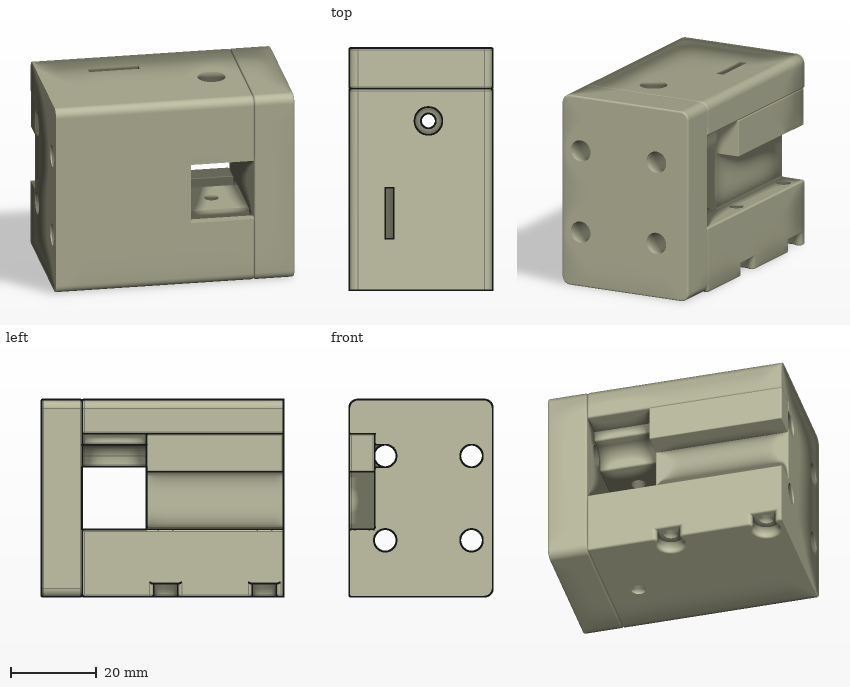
import cadquery as cq
import math

width = 33.5
length = 56.5
height = 46.0
cap_thickness = 9.5
housing_length = length - cap_thickness
mid_z = height / 2

corner_radius = 2.05
edge_radius = 0.45
back_radius = 0.5
small_radius = 0.2

hole_dia = 5.2
hole_radius = hole_dia / 2
hole_spacing_x = 20.1
hole_spacing_z = 19.65
near_hole_x = 8.4
far_hole_x = near_hole_x + hole_spacing_x
lower_hole_z = mid_z - hole_spacing_z / 2
upper_hole_z = mid_z + hole_spacing_z / 2

window_height = 14.6
window_front_y = 32.0
window_mid_y = (window_front_y + housing_length) / 2
floor_z = mid_z - window_height / 2
window_top_z = mid_z + window_height / 2

pocket_depth = 6.0
pocket_top_z = 37.95

insert_height = 8.8

screw_hole_dia = 3.4
screw_hole_x = (near_hole_x + far_hole_x) / 2
counterbore_dia = 6.5
counterbore_depth = 3.0

ledge_screw_x = 3.0
ledge_screw_first_y = 4.5
ledge_screw_spacing = 23.0
ledge_screw_ys = [ledge_screw_first_y, ledge_screw_first_y + ledge_screw_spacing]
mouth_radius = 1.0

slot_x = 8.5
slot_width = 2.0
slot_length = 12.0
slot_front_y = 12.0


def box(x0, x1, y0, y1, z0, z1):
    """Box given by its limits along each axis."""
    return cq.Workplane("XY").box(x1 - x0, y1 - y0, z1 - z0, centered=False).translate((x0, y0, z0))


def cylinder(x, y, z0, z1, diameter):
    """Upright cylinder between two heights."""
    return cq.Workplane("XY", origin=(x, y, z0)).circle(diameter / 2).extrude(z1 - z0)


def round_edge(body, point, radius):
    """Round the edge whose centre is nearest to a point, with the edges that run on smoothly from it."""
    return body.edges(cq.selectors.NearestToPointSelector(point)).fillet(radius)


def long_holes():
    """Cutter for the four holes along Y."""
    centres = [(x, z) for x in (near_hole_x, far_hole_x) for z in (lower_hole_z, upper_hole_z)]
    return cq.Workplane("XZ").pushPoints(centres).circle(hole_radius).extrude(-length)


def housing_blank():
    """Block with large roundings on the closed corners and a rounded back outline."""
    blank = box(0, width, 0, housing_length, 0, height)
    blank = blank.edges("|Y and (>Z or >X)").fillet(corner_radius)
    return blank.faces(">Y").edges().fillet(back_radius)


def pocket():
    cutter = box(0, pocket_depth, 0, housing_length, floor_z, pocket_top_z)
    return cutter.edges("|Y and >X and <Z").fillet(edge_radius)


def window():
    """Opening through X; inside it the lower and upper holes open toward each other."""
    cutter = box(0, width, window_front_y, housing_length, floor_z, window_top_z)
    for x in (near_hole_x, far_hole_x):
        x0 = x - hole_radius
        x1 = x + hole_radius
        cutter = cutter.union(box(x0, x1, window_front_y, housing_length, lower_hole_z, upper_hole_z))
    return cutter


def channel():
    """Opens the upper near hole sideways into the pocket."""
    z0 = upper_hole_z - hole_radius
    z1 = upper_hole_z + hole_radius
    return box(0, near_hole_x, 0, housing_length, z0, z1)


def screw_hole():
    cutter = cylinder(screw_hole_x, window_mid_y, 0, height, screw_hole_dia)
    head_z = height - counterbore_depth
    return cutter.union(cylinder(screw_hole_x, window_mid_y, head_z, height, counterbore_dia))


def slot():
    return box(
        slot_x, slot_x + slot_width,
        slot_front_y, slot_front_y + slot_length,
        upper_hole_z, height,
    )


def wall_rounding():
    """Sliver that rounds the pocket wall where it turns into the window."""
    x0 = pocket_depth
    x1 = pocket_depth + small_radius
    y0 = window_front_y - small_radius
    z0 = floor_z + edge_radius
    z1 = upper_hole_z - hole_radius - edge_radius
    corner = box(x0, x1, y0, window_front_y, z0, z1)
    return corner.cut(cylinder(x1, y0, z0, z1, 2 * small_radius))


def cut_ledge_screws(body):
    """Holes down from the pocket floor, with counterbores that break out of the open side."""
    radius = counterbore_dia / 2
    mouth_half = math.sqrt(radius ** 2 - ledge_screw_x ** 2)
    for y in ledge_screw_ys:
        body = body.cut(cylinder(ledge_screw_x, y, 0, floor_z, screw_hole_dia))
        body = body.cut(cylinder(ledge_screw_x, y, 0, counterbore_depth, counterbore_dia))
    for y in ledge_screw_ys:
        for side_y in (y - mouth_half, y + mouth_half):
            body = round_edge(body, (0, side_y, counterbore_depth / 2), mouth_radius)
    body = round_edge(body, (0, sum(ledge_screw_ys) / 2, 0), edge_radius)
    for y in ledge_screw_ys:
        body = round_edge(body, (0, y, counterbore_depth), edge_radius)
    return body


def round_openings(body):
    """Round the edges of the pocket, the channel and the near side of the window."""
    mid_y = housing_length / 2
    channel_top_z = upper_hole_z + hole_radius
    channel_bottom_z = upper_hole_z - hole_radius
    wall_x = near_hole_x + hole_radius
    for z in (pocket_top_z, floor_z):
        body = round_edge(body, (0, mid_y, z), edge_radius)
    for z in (floor_z, window_top_z):
        body = round_edge(body, (wall_x, window_mid_y, z), edge_radius)
    body = round_edge(body, (pocket_depth, mid_y, channel_top_z), edge_radius)
    body = round_edge(body, (pocket_depth, window_front_y / 2, channel_bottom_z), edge_radius)
    body = round_edge(body, (wall_x, housing_length, (upper_hole_z + window_top_z) / 2), edge_radius)
    return round_edge(body, (wall_x, housing_length, (lower_hole_z + floor_z) / 2), small_radius)


def make_housing():
    body = housing_blank()
    for cutter in (pocket(), window(), channel(), long_holes(), screw_hole(), slot()):
        body = body.cut(cutter)
    body = cut_ledge_screws(body)
    return round_openings(body).cut(wall_rounding())


def make_cap():
    cap = box(0, width, housing_length, length, 0, height)
    cap = cap.edges("|Y").fillet(corner_radius)
    cap = cap.faces("<Y or >Y").edges().fillet(edge_radius)
    return cap.cut(long_holes())


def make_insert():
    insert = box(0, pocket_depth, 0, window_front_y, pocket_top_z - insert_height, pocket_top_z)
    insert = insert.edges("|Z and <Y").fillet(edge_radius)
    insert = insert.edges("|Z and >Y").fillet(small_radius)
    return insert.faces("<Z or >Z").edges().fillet(small_radius)


housing = make_housing()
cap = make_cap()
insert = make_insert()
result = cq.Compound.makeCompound([body.solids().val() for body in (housing, cap, insert)])